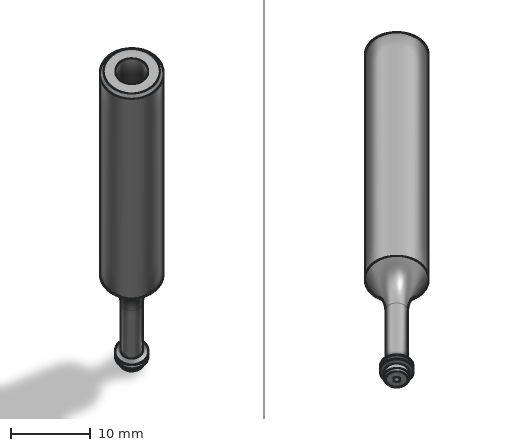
import cadquery as cq

length = 60.0
shank_radius = 4.0
shank_bottom = 18.4
shank_chamfer = 0.5

neck_radius = 1.41
flare_bottom = 12.55

pilot_radius = 1.6
tip_chamfer = 0.25
tip_chamfer_height = 0.35
tooth_radius = 2.1
tooth_pitch = 0.8
lowest_tooth_height = 1.5
tooth_count = 2
crest_width = 0.1
flank_slope = 0.5

bore_radius = 2.05
bore_bottom = 20.0
coolant_radius = 0.4


def flare_midpoint():
    """Point (radius, height) on the flare arc, halfway up the flare."""
    widening = shank_radius - neck_radius
    rise = shank_bottom - flare_bottom
    arc_radius = (widening**2 + rise**2) / (2 * widening)
    half_rise = rise / 2
    radius = neck_radius + arc_radius - (arc_radius**2 - half_rise**2) ** 0.5
    return (radius, flare_bottom + half_rise)


def make_core():
    """Pilot, neck, flare and shank, revolved about Z."""
    profile = (
        cq.Workplane("XZ")
        .moveTo(0, 0)
        .lineTo(pilot_radius - tip_chamfer, 0)
        .lineTo(pilot_radius, tip_chamfer_height)
        .lineTo(pilot_radius, lowest_tooth_height + (tooth_count - 1) * tooth_pitch)
        .lineTo(neck_radius, lowest_tooth_height + (tooth_count - 1) * tooth_pitch)
        .lineTo(neck_radius, flare_bottom)
        .threePointArc(flare_midpoint(), (shank_radius, shank_bottom))
        .lineTo(shank_radius, length - shank_chamfer)
        .lineTo(shank_radius - shank_chamfer, length)
        .lineTo(0, length)
        .close()
    )
    return profile.revolve(360, (0, 0, 0), (0, 1, 0))


def make_tooth(height):
    """Ring tooth with sloping flanks, its crest centred at the given height."""
    half_crest = crest_width / 2
    upper_root = height + half_crest + flank_slope * (tooth_radius - neck_radius)
    lower_root = height - half_crest - flank_slope * (tooth_radius - pilot_radius)
    profile = (
        cq.Workplane("XZ")
        .moveTo(0, lower_root)
        .lineTo(pilot_radius, lower_root)
        .lineTo(tooth_radius, height - half_crest)
        .lineTo(tooth_radius, height + half_crest)
        .lineTo(neck_radius, upper_root)
        .lineTo(0, upper_root)
        .close()
    )
    return profile.revolve(360, (0, 0, 0), (0, 1, 0))


def make_passage():
    """Wide bore from the shank end, then a narrow hole through the tip."""
    bore_plane = cq.Workplane("XY").workplane(offset=bore_bottom)
    bore = bore_plane.circle(bore_radius).extrude(length - bore_bottom)
    coolant_hole = cq.Workplane("XY").circle(coolant_radius).extrude(length)
    return bore.union(coolant_hole)


body = make_core()
for index in range(tooth_count):
    body = body.union(make_tooth(lowest_tooth_height + index * tooth_pitch))

result = body.cut(make_passage())